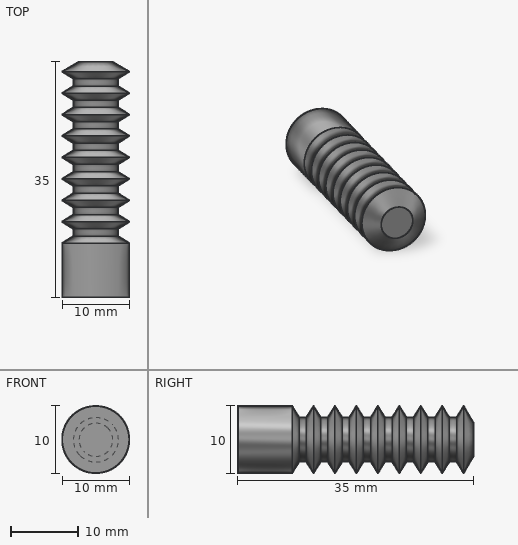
import cadquery as cq

length = 35.0
outer_radius = 10.0 / 2
root_radius = 3.32
tip_radius = 2.5

head_length = 8.05
ring_pitch = 3.2
ring_count = 8
flank_length = 1.05

head_end = -length / 2 + head_length
tip_end = length / 2

profile = [
    (0, -length / 2),
    (outer_radius, -length / 2),
    (outer_radius, head_end),
    (root_radius, head_end + flank_length),
]
for ring in range(1, ring_count + 1):
    crest = head_end + ring * ring_pitch
    profile.append((root_radius, crest - flank_length))
    profile.append((outer_radius, crest))
    if ring < ring_count:
        profile.append((root_radius, crest + flank_length))

profile.append((tip_radius, tip_end))
profile.append((0, tip_end))

result = cq.Workplane("XY").polyline(profile).close().revolve(360, (0, 0, 0), (0, 1, 0))